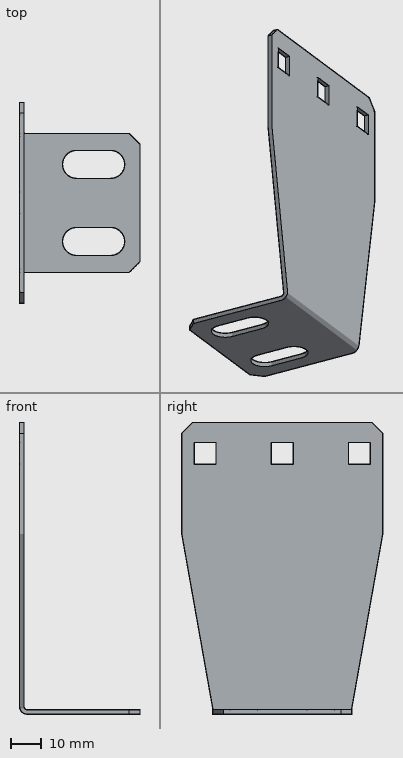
import cadquery as cq

height = 94.4
depth = 39.0
wall_width = 65.0
base_width = 45.0
thickness = 1.5
bend_inner_radius = 1.0
corner_chamfer = 3.5

taper_top = 58.2
taper_bottom = 1.9
square_hole_size = 7.0
square_hole_pitch = 24.9
square_hole_drop = 10.0

slot_length = 20.0
slot_width = 9.0
slot_pitch = 24.9
slot_setback = 15.0


def make_folded_sheet():
    """L-shaped sheet with a rounded bend, as wide as the wall."""
    bend_outer_radius = bend_inner_radius + thickness
    sheet = (
        cq.Workplane("XZ")
        .moveTo(0, 0)
        .lineTo(depth, 0)
        .lineTo(depth, thickness)
        .lineTo(thickness, thickness)
        .lineTo(thickness, height)
        .lineTo(0, height)
        .close()
        .extrude(wall_width / 2, both=True)
    )
    sheet = sheet.edges(cq.selectors.NearestToPointSelector((0, 0, 0))).fillet(bend_outer_radius)
    inner_corner = cq.selectors.NearestToPointSelector((thickness, 0, thickness))
    return sheet.edges(inner_corner).fillet(bend_inner_radius)


def make_wall_outline():
    """Prism along X that trims the wall to its tapered, chamfered outline."""
    half_wall = wall_width / 2
    half_base = base_width / 2
    return (
        cq.Workplane("YZ")
        .moveTo(-half_base, 0)
        .lineTo(half_base, 0)
        .lineTo(half_base, taper_bottom)
        .lineTo(half_wall, taper_top)
        .lineTo(half_wall, height - corner_chamfer)
        .lineTo(half_wall - corner_chamfer, height)
        .lineTo(corner_chamfer - half_wall, height)
        .lineTo(-half_wall, height - corner_chamfer)
        .lineTo(-half_wall, taper_top)
        .lineTo(-half_base, taper_bottom)
        .close()
        .extrude(depth)
    )


def make_square_holes():
    """Row of square holes through the wall."""
    return (
        cq.Workplane("YZ")
        .center(0, height - square_hole_drop)
        .rarray(square_hole_pitch, 0.9, 3, 1)
        .rect(square_hole_size, square_hole_size)
        .extrude(thickness)
    )


def make_slots():
    """Pair of slots through the base, running along X."""
    return (
        cq.Workplane("XY")
        .center(depth - slot_setback, 0)
        .rarray(0.9, slot_pitch, 1, 2)
        .slot2D(slot_length, slot_width)
        .extrude(thickness)
    )


bracket = make_folded_sheet().intersect(make_wall_outline())
bracket = bracket.edges("|Z and >X").chamfer(corner_chamfer)
result = bracket.cut(make_square_holes()).cut(make_slots())